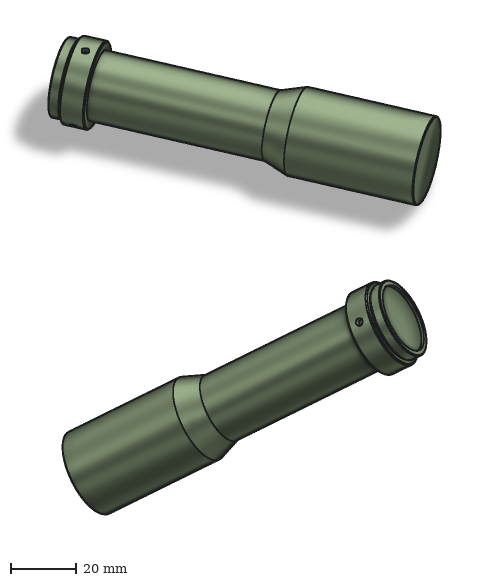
import cadquery as cq
import math

total_length = 117.71
mount_length = 3.3
collar_start = 4.0
collar_length = 8.0
cone_start = 68.2
cone_length = 8.0

mount_diameter = 25.4
groove_diameter = 24.4
collar_diameter = 28.0
tube_diameter = 22.3
head_diameter = 28.0

collar_chamfer = 0.4
head_chamfer = 0.3
mount_chamfer = 0.3

lens_diameter = 22.0
recess_depth = 1.0
lens_dome_height = 0.4

screw_hole_count = 3
screw_hole_diameter = 2.4
screw_hole_depth = 2.0

collar_end = collar_start + collar_length
cone_end = cone_start + cone_length


def ring_section(start, end, diameter):
    """Solid cylinder along X between two stations."""
    return cq.Workplane("YZ", origin=(start, 0, 0)).circle(diameter / 2).extrude(end - start)


def make_mount():
    """Mount spigot followed by its relief groove."""
    spigot = ring_section(0, mount_length, mount_diameter).faces("<X").chamfer(mount_chamfer)
    groove = ring_section(mount_length, collar_start, groove_diameter)
    return spigot.union(groove)


def make_collar():
    return ring_section(collar_start, collar_end, collar_diameter).edges().chamfer(collar_chamfer)


def make_barrel():
    """Slim tube, conical transition and wide head, turned about X."""
    tube_radius = tube_diameter / 2
    head_radius = head_diameter / 2
    profile = (
        cq.Workplane("XZ")
        .moveTo(collar_end, 0)
        .lineTo(collar_end, tube_radius)
        .lineTo(cone_start, tube_radius)
        .lineTo(cone_end, head_radius)
        .lineTo(total_length - head_chamfer, head_radius)
        .lineTo(total_length, head_radius - head_chamfer)
        .lineTo(total_length, 0)
        .close()
    )
    return profile.revolve(360, (0, 0, 0), (1, 0, 0))


def make_lens_recess():
    """Material in front of the domed lens, turned about X."""
    lens_radius = lens_diameter / 2
    dome_tip = recess_depth - lens_dome_height
    dome_radius = (lens_radius**2 + lens_dome_height**2) / (2 * lens_dome_height)
    half_angle = math.asin(lens_radius / dome_radius) / 2
    dome_middle = (
        dome_tip + dome_radius * (1 - math.cos(half_angle)),
        dome_radius * math.sin(half_angle),
    )
    profile = (
        cq.Workplane("XZ")
        .moveTo(0, 0)
        .lineTo(0, lens_radius)
        .lineTo(recess_depth, lens_radius)
        .threePointArc(dome_middle, (dome_tip, 0))
        .close()
    )
    return profile.revolve(360, (0, 0, 0), (1, 0, 0))


def make_screw_hole(angle):
    """Blind radial hole at mid collar, turned about X from the +Z direction."""
    collar_middle = collar_start + collar_length / 2
    floor_height = collar_diameter / 2 - screw_hole_depth
    hole = (
        cq.Workplane("XY", origin=(collar_middle, 0, floor_height))
        .circle(screw_hole_diameter / 2)
        .extrude(2 * screw_hole_depth)
    )
    return hole.rotate((0, 0, 0), (1, 0, 0), angle)


result = make_mount().union(make_collar()).union(make_barrel()).cut(make_lens_recess())
for hole_index in range(screw_hole_count):
    result = result.cut(make_screw_hole(hole_index * 360 / screw_hole_count))